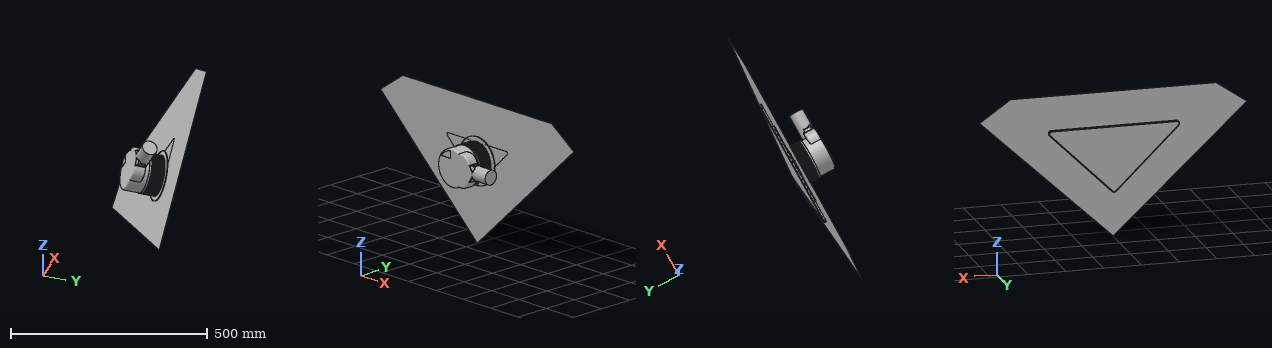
import cadquery as cq


SHEET_WIDTH = 710.0
SHEET_TOP_WIDTH = 545.0
SHEET_TOP = 165.5
SHEET_HEIGHT = 387.0
SHEET_SHOULDER_DROP = 57.0
SHEET_THICKNESS = 0.35

TRIANGLE_SLOPE = 0.976
COVER_TOP = 75.0
COVER_APEX = -105.0
COVER_CORNER_RADIUS = 8.0
COVER_THICKNESS = 6.5
COVER_CHAMFER = 2.0
SPACER_TOP = 50.5
SPACER_APEX = -64.0
SPACER_CORNER_RADIUS = 4.0
SPACER_THICKNESS = 4.0

COLLAR_RADIUS = 53.0
COLLAR_END = -45.0
FLANGE_RADIUS = 65.0
FLANGE_RIM_THICKNESS = 2.0
FLANGE_CONE_RISE = 1.0
THREAD_PITCH = 3.5
THREAD_DEPTH = 1.5
THREAD_COUNT = 10
THREAD_START = -5.0
STEPS_PER_PITCH = 4

HOUSING_RADIUS = 52.0
HOUSING_FRONT = -89.5
HOUSING_EDGE_FILLET = 4.0
PAD_RADIUS = 47.0
PAD_RIGHT = -6.0
PAD_BOTTOM = 26.0
PAD_THICKNESS = 1.0

CHAMBER_DEPTH = 31.0
CHAMBER_HALF_HEIGHT = 45.5
CHAMBER_FLAT_END = 31.0
CHAMBER_BULGE = (52.5, 38.0)
CHAMBER_SHOULDER = (62.0, 23.0)
CHAMBER_TIP = 78.0
CHAMBER_BACK_FILLET = 4.0

NOSE_ROOT_X = 42.5
NOSE_TIP = 81.0
NOSE_FRONT_INSET = 1.5
NOSE_FRONT_BULGE = (71.0, 12.0)
NOSE_WIDE_INSET = 6.5
NOSE_WIDE_CORNER = (70.0, 20.5)
NOSE_WIDE_BULGE = (79.0, 11.5)
NOSE_BACK_INSET = 26.0

OUTLET_RADIUS = 20.0
OUTLET_END = 121.5


def front_plane(y):
    """Sketch plane at the given Y whose extrusions run toward -Y."""
    return cq.Workplane("XZ", origin=(0, y, 0))


def rounded_triangle(top, apex, radius, back, thickness):
    """Triangular plate with a level top side and three rounded corners."""
    half_width = (top - apex) / TRIANGLE_SLOPE
    corners = [(-half_width, top), (half_width, top), (0, apex)]
    plate = front_plane(back).polyline(corners).close().extrude(thickness)
    return plate.edges("|Y").fillet(radius)


def make_cover():
    back = SPACER_THICKNESS + COVER_THICKNESS
    cover = rounded_triangle(COVER_TOP, COVER_APEX, COVER_CORNER_RADIUS, back, COVER_THICKNESS)
    return cover.faces(">Y").edges().chamfer(COVER_CHAMFER)


def make_spacer():
    return rounded_triangle(
        SPACER_TOP, SPACER_APEX, SPACER_CORNER_RADIUS, SPACER_THICKNESS, SPACER_THICKNESS
    )


def make_sheet():
    shoulder = SHEET_TOP - SHEET_SHOULDER_DROP
    corners = [
        (-SHEET_TOP_WIDTH / 2, SHEET_TOP),
        (SHEET_TOP_WIDTH / 2, SHEET_TOP),
        (SHEET_WIDTH / 2, shoulder),
        (0, SHEET_TOP - SHEET_HEIGHT),
        (-SHEET_WIDTH / 2, shoulder),
    ]
    return front_plane(0).polyline(corners).close().extrude(SHEET_THICKNESS)


def make_collar():
    """Flange, ring grooves and plain end, revolved as one (radius, y) profile."""
    flange_back = -SHEET_THICKNESS
    flange_rim = flange_back - FLANGE_RIM_THICKNESS
    root = COLLAR_RADIUS - THREAD_DEPTH
    profile = [
        (0, flange_back),
        (FLANGE_RADIUS, flange_back),
        (FLANGE_RADIUS, flange_rim),
        (COLLAR_RADIUS, flange_rim - FLANGE_CONE_RISE),
    ]
    step = THREAD_PITCH / STEPS_PER_PITCH
    for groove in range(THREAD_COUNT):
        y = THREAD_START - groove * THREAD_PITCH
        profile += [
            (COLLAR_RADIUS, y),
            (root, y - step),
            (root, y - 2 * step),
            (COLLAR_RADIUS, y - 3 * step),
        ]
    profile += [(COLLAR_RADIUS, COLLAR_END), (0, COLLAR_END)]
    return cq.Workplane("XY").polyline(profile).close().revolve(360, (0, 0, 0), (0, 1, 0))


def make_chamber():
    """Heart-shaped side chamber: rounded shoulders that converge on the outlet axis."""
    chamber = (
        front_plane(HOUSING_FRONT + CHAMBER_DEPTH)
        .moveTo(0, CHAMBER_HALF_HEIGHT)
        .lineTo(CHAMBER_FLAT_END, CHAMBER_HALF_HEIGHT)
        .threePointArc(CHAMBER_BULGE, CHAMBER_SHOULDER)
        .lineTo(CHAMBER_TIP, 0)
        .lineTo(0, 0)
        .close()
        .extrude(CHAMBER_DEPTH)
        .mirror("XY", union=True)
    )
    return chamber.faces(">Y").edges().fillet(CHAMBER_BACK_FILLET)


def draw_nose(plane, corner, bulge):
    """Outline, symmetric about Z = 0, with a rounded end that points along +X."""
    (corner_x, corner_z), (bulge_x, bulge_z) = corner, bulge
    return (
        plane.moveTo(NOSE_ROOT_X, -corner_z)
        .lineTo(corner_x, -corner_z)
        .threePointArc((bulge_x, -bulge_z), (NOSE_TIP, 0))
        .threePointArc(bulge, corner)
        .lineTo(NOSE_ROOT_X, corner_z)
        .close()
    )


def make_nose():
    """Widening stretch at the front, then a straight stretch behind it."""
    back = front_plane(HOUSING_FRONT + NOSE_BACK_INSET)
    straight = draw_nose(back, NOSE_WIDE_CORNER, NOSE_WIDE_BULGE).extrude(
        NOSE_BACK_INSET - NOSE_WIDE_INSET
    )
    wide = front_plane(HOUSING_FRONT + NOSE_WIDE_INSET)
    wide_outline = draw_nose(wide, NOSE_WIDE_CORNER, NOSE_WIDE_BULGE)
    front = wide_outline.workplane(offset=NOSE_WIDE_INSET - NOSE_FRONT_INSET)
    widening = draw_nose(front, CHAMBER_SHOULDER, NOSE_FRONT_BULGE).loft(ruled=True)
    return straight.union(widening)


def make_pad():
    """Shallow raised pad in the upper left of the housing front."""
    disc = front_plane(HOUSING_FRONT).circle(PAD_RADIUS).extrude(PAD_THICKNESS)
    corner = (
        front_plane(HOUSING_FRONT)
        .moveTo(PAD_RIGHT, PAD_BOTTOM)
        .rect(-PAD_RADIUS, PAD_RADIUS, centered=False)
        .extrude(PAD_THICKNESS)
    )
    return disc.intersect(corner)


def make_housing():
    barrel = front_plane(COLLAR_END).circle(HOUSING_RADIUS).extrude(COLLAR_END - HOUSING_FRONT)
    housing = barrel.union(make_chamber())
    housing = housing.faces("<Y").edges().fillet(HOUSING_EDGE_FILLET)
    outlet = (
        cq.Workplane("YZ", origin=(0, HOUSING_FRONT + OUTLET_RADIUS, 0))
        .circle(OUTLET_RADIUS)
        .extrude(OUTLET_END)
    )
    return housing.union(make_nose()).union(outlet).union(make_pad())


cover = make_cover()
spacer = make_spacer()
sheet = make_sheet()
collar = make_collar()
housing = make_housing()

result = cq.Compound.makeCompound(
    [cover.val(), spacer.val(), sheet.val(), collar.val(), housing.val()]
)